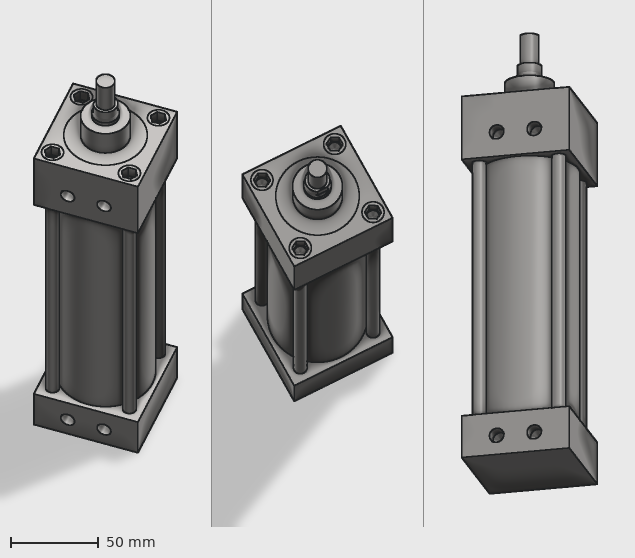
import cadquery as cq
import math


total_height = 263.5
cap_width = 63.5
rear_cap_height = 25.3
barrel_height = 155.5
head_height = 38.2
barrel_diameter = 57.5

barrel_top = rear_cap_height + barrel_height
head_top = barrel_top + head_height

tie_rod_offset = 23.5
tie_rod_diameter = 8.0
screw_head_diameter = 12.6
screw_head_height = 13.2
socket_flats = 8.2
socket_drill_diameter = 7.5
socket_depth = 6.9

mount_hole_diameter = 8.5
mount_hole_depth = 8.0
mount_hole_offset = 11.0
rear_mount_height = 11.5
head_mount_height = barrel_top + 14.8
drill_point_angle = 118.0

gland_diameter = 47.7
gland_depth = 15.8
neck_diameter = 28.5
neck_height = 15.8
neck_top = head_top + neck_height
gland_bottom = head_top - gland_depth

rod_diameter = 15.8
rod_exposed_height = 2.5
rod_cone_height = 2.5
wrench_diameter = 14.2
wrench_height = 5.5
flat_distance = 6.3
flat_overrun = 0.3
thread_diameter = 10.8
cone_bottom = neck_top + rod_exposed_height
wrench_bottom = cone_bottom + rod_cone_height
wrench_top = wrench_bottom + wrench_height
flat_bottom = wrench_bottom - flat_overrun


def cylinder(diameter, bottom, top):
    """Upright cylinder on the Z axis between two levels."""
    return cq.Workplane("XY").workplane(offset=bottom).circle(diameter / 2).extrude(top - bottom)


def square_block(bottom, top):
    """Square cap block between two levels."""
    return cq.Workplane("XY").workplane(offset=bottom).rect(cap_width, cap_width).extrude(top - bottom)


def at_tie_rods(shape):
    """Four copies of a shape built on the Z axis, one on each tie-rod axis."""
    return [
        shape.translate((x, y, 0))
        for x in (-tie_rod_offset, tie_rod_offset)
        for y in (-tie_rod_offset, tie_rod_offset)
    ]


def drilled_hole(diameter, depth):
    """Cutter for a blind hole from the origin down -Z, ending in a drill point."""
    radius = diameter / 2
    point_depth = radius / math.tan(math.radians(drill_point_angle / 2))
    profile = [(0, 0), (radius, 0), (radius, -depth), (0, -depth - point_depth)]
    return cq.Workplane("XZ").polyline(profile).close().revolve(360, (0, 0), (0, 1))


def mount_holes(height):
    """Cutter for the pair of blind holes in the -Y face at one height."""
    hole = drilled_hole(mount_hole_diameter, mount_hole_depth).rotate((0, 0, 0), (1, 0, 0), 90)
    left = hole.translate((-mount_hole_offset, -cap_width / 2, height))
    right = hole.translate((mount_hole_offset, -cap_width / 2, height))
    return left.union(right)


def tie_rod_envelope():
    """Rod and its head as a plain shape, also used to cut the seats in the front head."""
    rod = cylinder(tie_rod_diameter, rear_cap_height, head_top)
    return rod.union(cylinder(screw_head_diameter, head_top - screw_head_height, head_top))


def hex_socket():
    """Cutter for the hexagon socket, with a corner on +X and a drill point in its floor."""
    socket_corners = socket_flats / math.cos(math.pi / 6)
    hexagon = cq.Workplane("XY").polygon(6, socket_corners).extrude(-socket_depth)
    return hexagon.union(drilled_hole(socket_drill_diameter, socket_depth)).translate((0, 0, head_top))


def make_housing():
    """Rear cap, barrel and the four tie rods as one body."""
    body = square_block(0, rear_cap_height).union(cylinder(barrel_diameter, rear_cap_height, barrel_top))
    for tie_rod in at_tie_rods(tie_rod_envelope().cut(hex_socket())):
        body = body.union(tie_rod)
    return body.cut(mount_holes(rear_mount_height))


def make_front_head():
    """Front cap with the gland recess, the tie-rod seats and the mounting holes."""
    body = square_block(barrel_top, head_top).cut(cylinder(gland_diameter, gland_bottom, head_top))
    for seat in at_tie_rods(tie_rod_envelope()):
        body = body.cut(seat)
    return body.cut(mount_holes(head_mount_height))


def make_gland():
    """Gland disc and neck, bored for the piston rod."""
    disc = cylinder(gland_diameter, gland_bottom, head_top)
    neck = cylinder(neck_diameter, head_top, neck_top)
    return disc.union(neck).cut(cylinder(rod_diameter, gland_bottom, neck_top))


def wrench_flat_cut():
    """Cutter for the -X wrench flat, whose lower end slopes outward and down at 45 degrees."""
    rod_radius = rod_diameter / 2
    reach = rod_radius - flat_distance
    profile = [
        (-flat_distance, wrench_top),
        (-flat_distance, flat_bottom),
        (-rod_radius, flat_bottom - reach),
        (-rod_radius, wrench_top),
    ]
    return cq.Workplane("XZ").polyline(profile).close().extrude(rod_radius, both=True)


def make_piston_rod():
    """Turned rod with a wrench flat and a thinner thread end."""
    profile = [
        (0, gland_bottom),
        (rod_diameter / 2, gland_bottom),
        (rod_diameter / 2, cone_bottom),
        (wrench_diameter / 2, wrench_bottom),
        (wrench_diameter / 2, wrench_top),
        (thread_diameter / 2, wrench_top),
        (thread_diameter / 2, total_height),
        (0, total_height),
    ]
    rod = cq.Workplane("XZ").polyline(profile).close().revolve(360, (0, 0), (0, 1))
    return rod.cut(wrench_flat_cut())


housing = make_housing()
front_head = make_front_head()
gland = make_gland()
piston_rod = make_piston_rod()

result = cq.Compound.makeCompound([housing.val(), front_head.val(), gland.val(), piston_rod.val()])